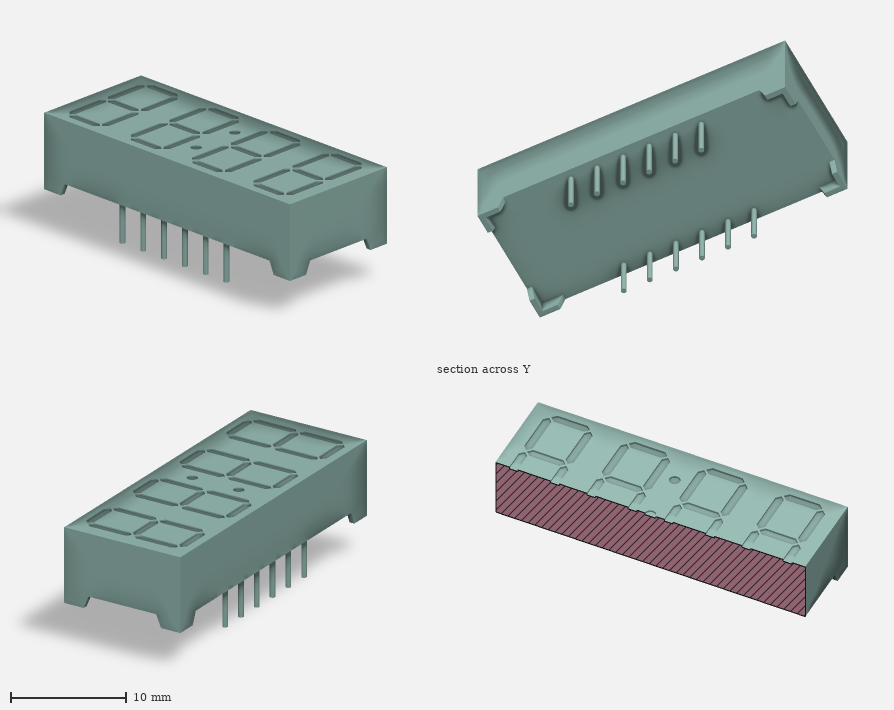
import cadquery as cq
import math

BODY_LENGTH = 30.0
BODY_WIDTH = 12.0
BODY_HEIGHT = 7.2
TOTAL_HEIGHT = 10.0
STANDOFF = 1.2
FOOT_TIP = 2.0
FOOT_ROOT = 2.5
FOOT_THICKNESS = 0.5

PIN_DIAMETER = 0.5
PIN_PITCH = 2.54
PINS_PER_ROW = 6
ROW_SPACING = 10.16

DIGIT_COUNT = 4
DIGIT_PITCH = 7.5
SEGMENT_WIDTH = 0.8
SEGMENT_GAP = 0.2
COLUMN_SPACING = 4.0
BAR_SPACING = 4.8
BAR_LENGTH = COLUMN_SPACING - SEGMENT_GAP * math.sqrt(2)
UPRIGHT_LENGTH = BAR_SPACING - SEGMENT_GAP * math.sqrt(2)
RECESS_DEPTH = 0.2

COLON_DIAMETER = 1.0
COLON_SPACING = BAR_SPACING

UNDERSIDE_Z = STANDOFF - BODY_HEIGHT
PIN_TIP_Z = -TOTAL_HEIGHT


def centred_positions(count, pitch):
    """Evenly pitched coordinates, symmetric about zero."""
    return [(i - (count - 1) / 2) * pitch for i in range(count)]


def standoff_channel(plane, span, depth):
    """Trapezoidal channel that leaves a tapered foot at each end of the span."""
    half_at_feet = span / 2 - FOOT_TIP
    half_at_roof = span / 2 - FOOT_ROOT
    outline = [
        (-half_at_feet, -BODY_HEIGHT),
        (-half_at_roof, UNDERSIDE_Z),
        (half_at_roof, UNDERSIDE_Z),
        (half_at_feet, -BODY_HEIGHT),
    ]
    return cq.Workplane(plane).polyline(outline).close().extrude(depth / 2, both=True)


def underside_hollow():
    """Space inside the feet, leaving only their outer walls."""
    inner_length = BODY_LENGTH - 2 * FOOT_THICKNESS
    inner_width = BODY_WIDTH - 2 * FOOT_THICKNESS
    floor = cq.Workplane("XY").workplane(offset=-BODY_HEIGHT)
    return floor.rect(inner_length, inner_width).extrude(STANDOFF)


def make_body():
    body = cq.Workplane("XY").rect(BODY_LENGTH, BODY_WIDTH).extrude(-BODY_HEIGHT)
    body = body.cut(standoff_channel("XZ", BODY_LENGTH, BODY_WIDTH))
    body = body.cut(standoff_channel("YZ", BODY_WIDTH, BODY_LENGTH))
    return body.cut(underside_hollow())


def make_pins():
    centres = [
        (x, y)
        for x in centred_positions(PINS_PER_ROW, PIN_PITCH)
        for y in centred_positions(2, ROW_SPACING)
    ]
    pin_plane = cq.Workplane("XY").workplane(offset=PIN_TIP_Z)
    return pin_plane.pushPoints(centres).circle(PIN_DIAMETER / 2).extrude(UNDERSIDE_Z - PIN_TIP_Z)


def segment_recess(length, x, y, upright=False):
    """Recess shaped as a bar with 45 degree pointed ends, centred at (x, y)."""
    tip = length / 2
    half_width = SEGMENT_WIDTH / 2
    shoulder = tip - half_width
    outline = [
        (-tip, 0),
        (-shoulder, half_width),
        (shoulder, half_width),
        (tip, 0),
        (shoulder, -half_width),
        (-shoulder, -half_width),
    ]
    if upright:
        outline = [(v, u) for u, v in outline]
    return cq.Workplane("XY").center(x, y).polyline(outline).close().extrude(-RECESS_DEPTH)


def cut_digit(body, centre_x):
    for y in centred_positions(3, BAR_SPACING):
        body = body.cut(segment_recess(BAR_LENGTH, centre_x, y))
    for offset in centred_positions(2, COLUMN_SPACING):
        for y in centred_positions(2, BAR_SPACING):
            body = body.cut(segment_recess(UPRIGHT_LENGTH, centre_x + offset, y, upright=True))
    return body


def cut_colon(body):
    centres = [(0, y) for y in centred_positions(2, COLON_SPACING)]
    dots = cq.Workplane("XY").pushPoints(centres).circle(COLON_DIAMETER / 2).extrude(-RECESS_DEPTH)
    return body.cut(dots)


display = make_body()
for digit_x in centred_positions(DIGIT_COUNT, DIGIT_PITCH):
    display = cut_digit(display, digit_x)
display = cut_colon(display)

result = display.union(make_pins())